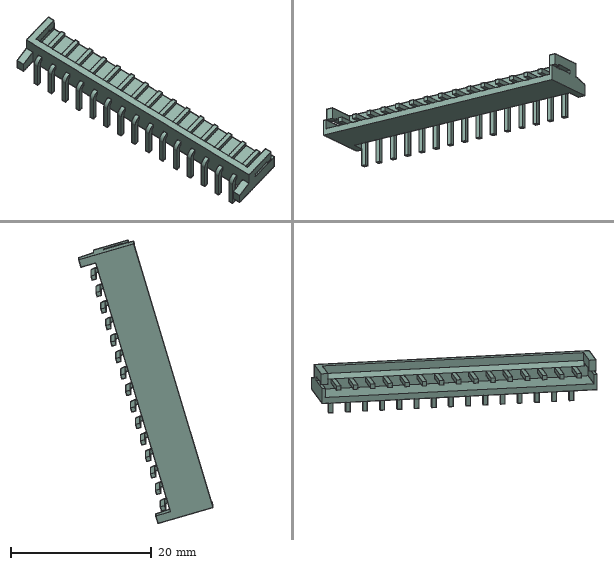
import cadquery as cq

length = 40.0
depth = 6.0
height = 4.2

front_wall_depth = 1.0
floor_top = 0.9
rail_width = 0.45
rail_top = 2.25
side_wall_width = 1.0
side_wall_back = 5.2

slot_front = 1.5
slot_front_roof = 2.75
slot_back_roof = 2.85
lip_front = 4.2
lip_bottom = 2.6

foot_back = 1.5
foot_front_top = 3.05

tab_width = 1.15
tab_reach = 2.2
tab_tip_height = 1.65

pin_count = 15
pin_pitch = 2.5
pin_size = 0.64
pin_top = 2.35
pin_back = 5.4
pin_bottom = -3.2
pin_front = -1.02
bend_outer_radius = 1.1
bend_inner_radius = bend_outer_radius - pin_size


def block(x_range, y_range, z_range):
    """Axis-aligned box between the given limits."""
    size = [high - low for low, high in (x_range, y_range, z_range)]
    corner = (x_range[0], y_range[0], z_range[0])
    return cq.Workplane("XY").box(*size, centered=False).translate(corner)


def side_profile(points, x_start, width):
    """Closed (Y, Z) outline extruded along +X from x_start."""
    return cq.Workplane("YZ", origin=(x_start, 0, 0)).polyline(points).close().extrude(width)


def make_end(outer_sign):
    """Rail, slotted side wall and tab at one end; outer_sign is -1 or +1 along X."""
    half = length / 2

    def start(width):
        return -half if outer_sign < 0 else half - width

    rail = block((start(rail_width), start(rail_width) + rail_width), (0, depth), (0, rail_top))
    wall = side_profile(
        [
            (0, 0),
            (slot_front, 0),
            (slot_front, slot_front_roof),
            (lip_front, slot_back_roof),
            (lip_front, lip_bottom),
            (side_wall_back, lip_bottom),
            (side_wall_back, height),
            (0, height),
        ],
        start(side_wall_width),
        side_wall_width,
    )
    tab = side_profile(
        [(0, 0), (0, rail_top), (-tab_reach, tab_tip_height), (-tab_reach, 0)],
        start(tab_width),
        tab_width,
    )
    return rail.union(wall).union(tab)


def make_housing():
    half = length / 2
    floor = block((-half, half), (0, depth), (0, floor_top))
    front_wall = block((-half, half), (0, front_wall_depth), (0, height))
    inner_half = half - side_wall_width
    foot = side_profile(
        [
            (0, 0),
            (foot_back, 0),
            (foot_back, pin_top),
            (front_wall_depth, foot_front_top),
            (0, foot_front_top),
        ],
        -inner_half,
        2 * inner_half,
    )
    housing = floor.union(front_wall).union(foot)
    for outer_sign in (-1, 1):
        housing = housing.union(make_end(outer_sign))
    return housing


def make_pin(x_center):
    """Pin held above the floor, passing through the front wall and bending down."""
    bend_start = pin_front + bend_outer_radius
    bend_z = pin_top - bend_outer_radius
    leg_back = pin_front + pin_size
    diagonal = 0.5 ** 0.5
    outer_mid = (bend_start - bend_outer_radius * diagonal, bend_z + bend_outer_radius * diagonal)
    inner_mid = (bend_start - bend_inner_radius * diagonal, bend_z + bend_inner_radius * diagonal)
    return (
        cq.Workplane("YZ", origin=(x_center - pin_size / 2, 0, 0))
        .moveTo(pin_back, pin_top)
        .lineTo(bend_start, pin_top)
        .threePointArc(outer_mid, (pin_front, bend_z))
        .lineTo(pin_front, pin_bottom)
        .lineTo(leg_back, pin_bottom)
        .lineTo(leg_back, bend_z)
        .threePointArc(inner_mid, (bend_start, pin_top - pin_size))
        .lineTo(pin_back, pin_top - pin_size)
        .close()
        .extrude(pin_size)
    )


first_pin_x = -(pin_count - 1) * pin_pitch / 2

result = make_housing()
for index in range(pin_count):
    result = result.union(make_pin(first_pin_x + index * pin_pitch))